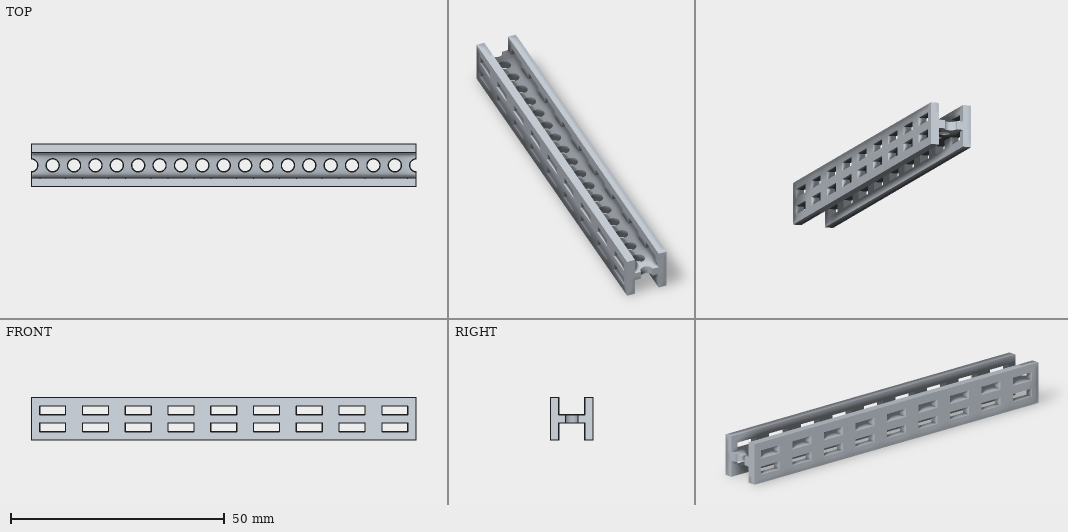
import cadquery as cq

length = 90.0
cell_count = 9
cell = length / cell_count

wall_thickness = cell / 5

hole_diameter = 0.3 * cell
hole_pitch = cell / 2
hole_count = 2 * cell_count + 1

slot_length = 0.6 * cell
slot_height = wall_thickness
slot_row_spacing = wall_thickness + slot_height


def flange(side):
    """Upright plate along one side of the web; side is -1 or +1."""
    centre_y = side * (cell - wall_thickness) / 2
    return cq.Workplane("XY").box(length, wall_thickness, cell).translate((0, centre_y, 0))


def web():
    """Level plate that reaches into both flanges and joins them."""
    return cq.Workplane("XY").box(length, cell - wall_thickness, wall_thickness)


def web_holes():
    """Row of holes along the centreline; the end ones leave half-round notches."""
    return (
        cq.Workplane("XY")
        .rarray(hole_pitch, 0.9, hole_count, 1)
        .circle(hole_diameter / 2)
        .extrude(wall_thickness, both=True)
    )


def flange_slots():
    """Two rows of slots crossing both flanges, one above the web and one below."""
    return (
        cq.Workplane("XZ")
        .rarray(cell, slot_row_spacing, cell_count, 2)
        .rect(slot_length, slot_height)
        .extrude(cell, both=True)
    )


beam = web().union(flange(-1)).union(flange(1))
result = beam.cut(web_holes()).cut(flange_slots())